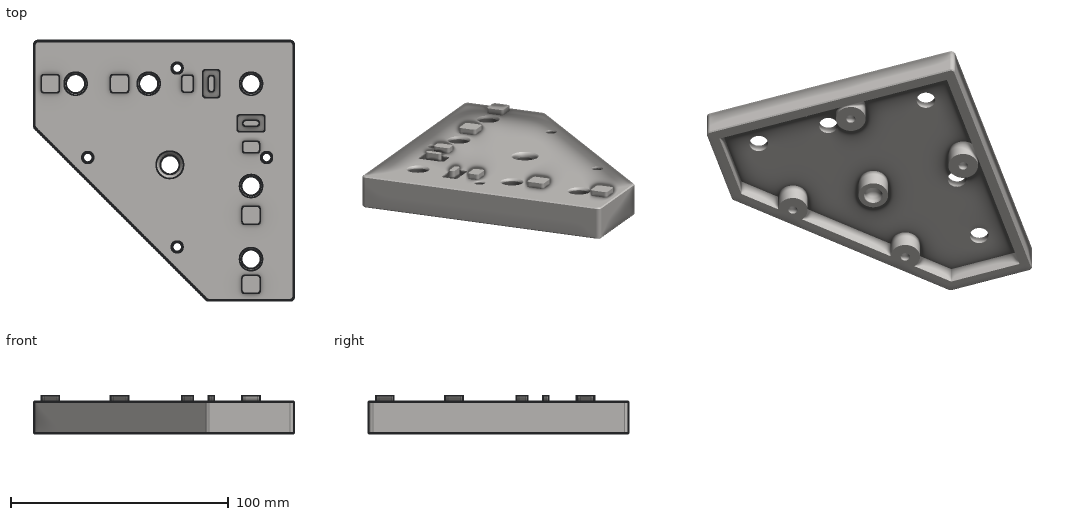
import cadquery as cq
import math

plate_side = 119.7
plate_thickness = 15.0
short_edge = 40.0
corner_radius = 2.0
edge_chamfer = 0.5

wall_thickness = 5.0
skin_thickness = 5.2
boss_radius = 6.8

arm_inset = 19.85

arm_hole_distances = (66.9, 100.5)
arm_hole_diameter = 8.6
arm_hole_chamfer = 1.0

centre_hole_inset = 57.15
centre_hole_diameter = 8.6
centre_hole_chamfer = 2.0

bolt_circle_inset = 53.8
bolt_circle_radius = 41.1
bolt_hole_count = 4
bolt_hole_diameter = 4.2
bolt_hole_chamfer = 0.6

pad_height = 2.6
pad_corner_radius = 1.25
square_pad_side = 8.3
square_pad_distances = (80.3, 112.1)
small_pad_length = 5.4
small_pad_width = 7.8
small_pad_distance = 49.0

pocket_distance = 38.1
pocket_length = 7.8
pocket_width = 12.8
pocket_depth = 2.5
pocket_corner_radius = 1.25
key_thickness = 2.7
key_width = 7.5
key_corner_radius = 1.25

plate_top = plate_thickness
pad_top = plate_top + pad_height
centre_hole_position = (-centre_hole_inset, -centre_hole_inset)


def bolt_hole_positions():
    positions = []
    for index in range(bolt_hole_count):
        angle = 2 * math.pi * index / bolt_hole_count
        x = -bolt_circle_inset + bolt_circle_radius * math.cos(angle)
        y = -bolt_circle_inset + bolt_circle_radius * math.sin(angle)
        positions.append((x, y))
    return positions


def mirror_to_other_arm(shape):
    """Swap X and Y: reflect across the diagonal x = y."""
    return shape.rotate((0, 0, 0), (0, 0, 1), 90).mirror("YZ")


def on_both_arms(shape):
    return shape.union(mirror_to_other_arm(shape))


def make_plate():
    outline = [
        (0, 0),
        (-plate_side, 0),
        (-plate_side, -short_edge),
        (-short_edge, -plate_side),
        (0, -plate_side),
    ]
    plate = cq.Workplane("XY").polyline(outline).close().extrude(plate_thickness)
    plate = plate.edges("|Z").fillet(corner_radius)
    plate = plate.faces("<Z or >Z").edges().chamfer(edge_chamfer)
    hollow = (
        cq.Workplane("XY")
        .polyline(outline)
        .close()
        .offset2D(-wall_thickness)
        .extrude(plate_top - skin_thickness)
    )
    bosses = (
        cq.Workplane("XY")
        .pushPoints([centre_hole_position] + bolt_hole_positions())
        .circle(boss_radius)
        .extrude(plate_top - skin_thickness)
    )
    return plate.cut(hollow.cut(bosses))


def rounded_block(distance, length, width, bottom, top, radius):
    """Block on the arm along X, centred at a distance from the outer corner."""
    block = cq.Workplane("XY", origin=(-distance, -arm_inset, bottom)).rect(length, width)
    return block.extrude(top - bottom).edges("|Z").fillet(radius)


def hole_cutter(position, diameter, chamfer):
    """Through hole with a chamfered mouth on the top face."""
    radius = diameter / 2
    profile = [
        (0, 0),
        (radius, 0),
        (radius, plate_top - chamfer),
        (radius + chamfer, plate_top),
        (0, plate_top),
    ]
    cutter = cq.Workplane("XZ").polyline(profile).close().revolve(360, (0, 0), (0, 1))
    x, y = position
    return cutter.translate((x, y, 0))


def make_pads():
    pads = rounded_block(
        small_pad_distance, small_pad_length, small_pad_width, plate_top, pad_top, pad_corner_radius
    )
    for distance in square_pad_distances:
        pads = pads.union(
            rounded_block(
                distance, square_pad_side, square_pad_side, plate_top, pad_top, pad_corner_radius
            )
        )
    return on_both_arms(pads)


def make_pockets():
    return on_both_arms(
        rounded_block(
            pocket_distance,
            pocket_length,
            pocket_width,
            plate_top - pocket_depth,
            plate_top,
            pocket_corner_radius,
        )
    )


def make_keys():
    """Keys standing on the pocket floors and level with the pads."""
    return on_both_arms(
        rounded_block(
            pocket_distance,
            key_thickness,
            key_width,
            plate_top - pocket_depth,
            pad_top,
            key_corner_radius,
        )
    )


def drill_holes(body):
    body = body.cut(hole_cutter((-arm_inset, -arm_inset), arm_hole_diameter, arm_hole_chamfer))
    for distance in arm_hole_distances:
        arm_hole = hole_cutter((-distance, -arm_inset), arm_hole_diameter, arm_hole_chamfer)
        body = body.cut(on_both_arms(arm_hole))
    body = body.cut(hole_cutter(centre_hole_position, centre_hole_diameter, centre_hole_chamfer))
    for position in bolt_hole_positions():
        body = body.cut(hole_cutter(position, bolt_hole_diameter, bolt_hole_chamfer))
    return body


plate = drill_holes(make_plate())
result = plate.cut(make_pockets()).union(make_keys()).union(make_pads())